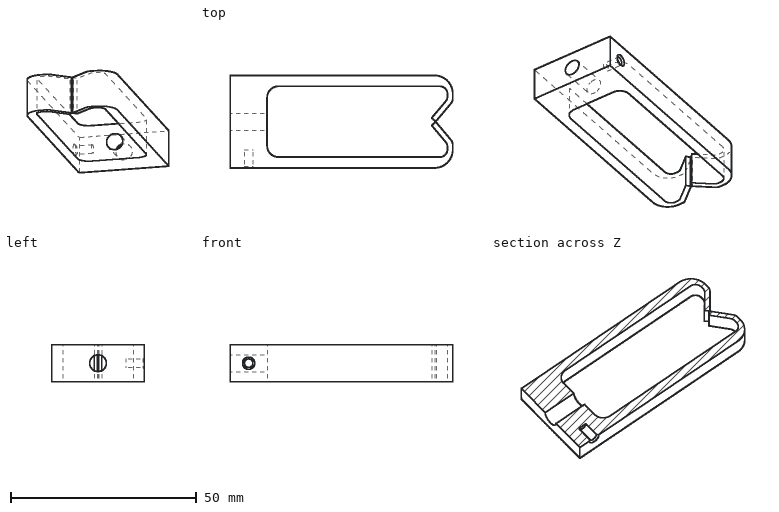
import cadquery as cq
import math

length = 60.0
width = 25.0
height = 10.0

base_length = 10.0
arm_thickness = 3.0
jaw_thickness = 1.5
outer_corner_radius = 5.0
base_corner_radius = 3.0
jaw_corner_radius = 2.0

jaw_angle = math.radians(50.0)
jaw_tip_x = 55.4
jaw_tip_y = 0.02
jaw_bend_radius = 2.0

pad_outer_x = 55.58
pad_width = 0.4
pad_slit = 0.03

bore_diameter = 4.5

side_hole_diameter = 2.3
side_hole_depth = 5.0
side_hole_x = base_length / 2
countersink_diameter = 3.3
countersink_depth = 0.5

half_width = width / 2
mid_height = height / 2


def make_half_frame():
    """Half of the frame on the +Y side of the centre plane, with its corners rounded."""
    jaw_wall_x = length - jaw_thickness
    arm_inner_y = half_width - arm_thickness
    slope = math.tan(jaw_angle)

    inner_tip = (
        jaw_tip_x - jaw_thickness * math.sin(jaw_angle),
        jaw_tip_y + jaw_thickness * math.cos(jaw_angle),
    )

    pad_inner_x = pad_outer_x - pad_width
    pad_outer_y = jaw_tip_y + (pad_outer_x - jaw_tip_x) * slope
    pad_inner_y = jaw_tip_y + (jaw_tip_x - pad_inner_x) / slope

    outer_corner = (length, half_width)
    outer_bend = (length, jaw_tip_y + (length - jaw_tip_x) * slope)
    inner_bend = (jaw_wall_x, inner_tip[1] + (jaw_wall_x - inner_tip[0]) * slope)
    jaw_corner = (jaw_wall_x, arm_inner_y)
    base_corner = (base_length, arm_inner_y)

    outline = [
        (0, 0),
        (0, half_width),
        outer_corner,
        outer_bend,
        (pad_outer_x, pad_outer_y),
        (pad_outer_x, pad_slit / 2),
        (pad_inner_x, pad_slit / 2),
        (pad_inner_x, pad_inner_y),
        inner_tip,
        inner_bend,
        jaw_corner,
        base_corner,
        (base_length, 0),
    ]
    half = cq.Workplane("XY").polyline(outline).close().extrude(height)

    corner_radii = [
        (outer_corner, outer_corner_radius),
        (outer_bend, jaw_bend_radius),
        (inner_bend, jaw_bend_radius),
        (jaw_corner, jaw_corner_radius),
        (base_corner, base_corner_radius),
    ]
    for (x, y), radius in corner_radii:
        corner_edge = cq.selectors.NearestToPointSelector((x, y, mid_height))
        half = half.edges("|Z").edges(corner_edge).fillet(radius)
    return half


def make_bore():
    """Round bore along X through the base."""
    return (
        cq.Workplane("YZ")
        .center(0, mid_height)
        .circle(bore_diameter / 2)
        .extrude(base_length)
    )


def make_side_hole():
    """Flat-bottomed hole with a conical countersink, running in +Y from the -Y face."""
    hole_radius = side_hole_diameter / 2
    return (
        cq.Workplane("XY")
        .lineTo(countersink_diameter / 2, 0)
        .lineTo(hole_radius, countersink_depth)
        .lineTo(hole_radius, side_hole_depth)
        .lineTo(0, side_hole_depth)
        .close()
        .revolve(360, (0, 0), (0, 1))
        .translate((side_hole_x, -half_width, mid_height))
    )


half_frame = make_half_frame()
frame = half_frame.union(half_frame.mirror("XZ"))
result = frame.cut(make_bore()).cut(make_side_hole())